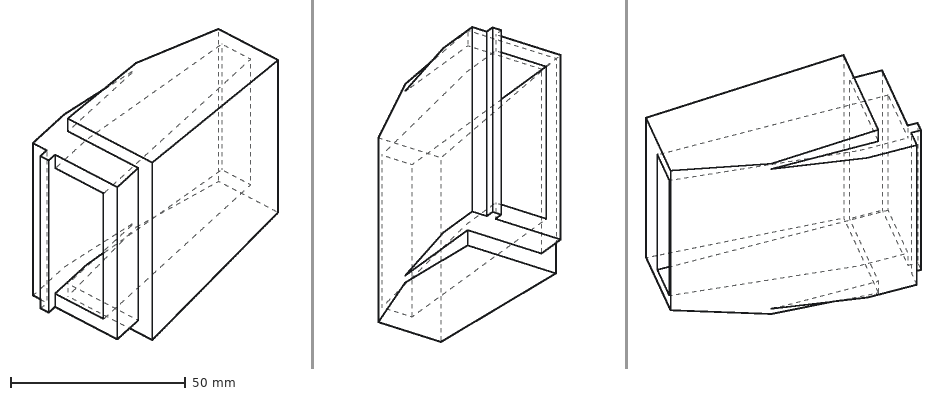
import cadquery as cq

lip_depth = 3.0
neck_depth = 10.0
shell_depth = 60.0

step = 5.0
neck_width = 30.4
neck_height = 60.4
shell_front_height = neck_height + 2 * step
shell_back_height = neck_height

shell_front_y = neck_depth
back_y = shell_front_y + shell_depth
cheek_bend_y = 15.0
knee_y = (cheek_bend_y + back_y) / 2

shell_left_x = step
shell_right_x = neck_width + step
back_left_x = 13.9

lip_width = 3.0
lip_left_x = shell_left_x
lip_right_x = lip_left_x + lip_width

opening_height = 49.8
opening_left_x = lip_right_x
opening_right_x = neck_width - step
opening_back_left_x = 15.0


def centred_prism(outline, height):
    """Extrude an XY outline to the given height, centred on Z = 0."""
    return cq.Workplane("XY").polyline(outline).close().extrude(height / 2, both=True)


def make_shell():
    """Outer shell: left side cut back behind the knee, top and bottom tapering to the back."""
    plan = centred_prism(
        [
            (shell_left_x, shell_front_y),
            (shell_right_x, shell_front_y),
            (shell_right_x, back_y),
            (back_left_x, back_y),
            (shell_left_x, knee_y),
        ],
        shell_front_height,
    )
    side_profile = [
        (shell_front_y, -shell_front_height / 2),
        (back_y, -shell_back_height / 2),
        (back_y, shell_back_height / 2),
        (shell_front_y, shell_front_height / 2),
    ]
    taper = cq.Workplane("YZ").polyline(side_profile).close().extrude(shell_right_x)
    return plan.intersect(taper)


def make_neck():
    """Neck in front of the shell, with a cheek that fades into the shell at the knee."""
    return centred_prism(
        [
            (0, 0),
            (neck_width, 0),
            (neck_width, shell_front_y),
            (shell_left_x, shell_front_y),
            (shell_left_x, knee_y),
            (0, cheek_bend_y),
        ],
        neck_height,
    )


def make_lip():
    """Full-height vertical lip standing out from the front of the neck."""
    return centred_prism(
        [
            (lip_left_x, -lip_depth),
            (lip_right_x, -lip_depth),
            (lip_right_x, 0),
            (lip_left_x, 0),
        ],
        neck_height,
    )


def make_opening():
    """Through opening whose left wall slants inwards towards the back."""
    return centred_prism(
        [
            (opening_left_x, 0),
            (opening_right_x, 0),
            (opening_right_x, back_y),
            (opening_back_left_x, back_y),
            (opening_left_x, cheek_bend_y),
        ],
        opening_height,
    )


result = make_shell().union(make_neck()).union(make_lip()).cut(make_opening())